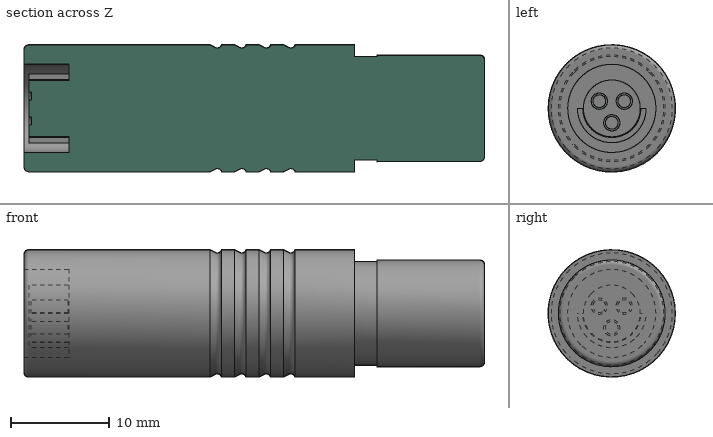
import cadquery as cq
import math

total_length = 47.0
body_radius = 6.5
body_length = 33.75
neck_radius = 5.3
tail_start = 36.0
tail_radius = 5.45
end_rounding = 0.5

groove_count = 4
first_groove_x = 19.0
groove_pitch = 2.5
groove_width = 1.15
flank_width = 0.55
flank_depth = 0.28

bore_radius = 4.5
bore_depth = 4.6
insert_radius = 2.9
insert_recess = 0.5

key_gap = 0.07
key_inner_radius = insert_radius + key_gap
key_outer_radius = 3.5

contact_count = 3
contact_circle_radius = 1.47
contact_first_angle = -90.0
contact_radius = 0.65
contact_depth = 4.0
contact_recess_radius = 0.83
contact_recess_depth = 0.25


def cylinder(start, end, radius):
    """Solid cylinder on the connector axis between two X positions."""
    return cq.Workplane("YZ", origin=(start, 0, 0)).circle(radius).extrude(end - start)


def make_shell():
    body = cylinder(0, body_length, body_radius).faces("<X").edges().fillet(end_rounding)
    neck = cylinder(body_length, tail_start, neck_radius)
    tail = cylinder(tail_start, total_length, tail_radius).faces(">X").edges().fillet(end_rounding)
    return body.union(neck).union(tail)


def make_groove(start):
    """Ring of material removed by one grip groove."""
    return (
        cq.Workplane("XY")
        .moveTo(start, body_radius)
        .lineTo(start + flank_width, body_radius - flank_depth)
        .tangentArcPoint((start + groove_width, body_radius), relative=False)
        .close()
        .revolve(360, (0, 0, 0), (1, 0, 0))
    )


def make_key():
    """Lower half of a thin tube standing on the bore floor around the insert."""
    tube = cylinder(insert_recess, bore_depth, key_outer_radius).cut(
        cylinder(insert_recess, bore_depth, key_inner_radius)
    )
    upper_half = cq.Workplane("XY").box(
        2 * bore_depth, 2 * bore_radius, bore_radius, centered=(True, True, False)
    )
    return tube.cut(upper_half)


def cut_contacts(part):
    for index in range(contact_count):
        angle = math.radians(contact_first_angle + index * 360 / contact_count)
        offset = (0, contact_circle_radius * math.cos(angle), contact_circle_radius * math.sin(angle))
        hole = cylinder(insert_recess, insert_recess + contact_depth, contact_radius)
        recess = cylinder(insert_recess, insert_recess + contact_recess_depth, contact_recess_radius)
        part = part.cut(hole.union(recess).translate(offset))
    return part


result = make_shell()
for groove_index in range(groove_count):
    result = result.cut(make_groove(first_groove_x + groove_index * groove_pitch))

result = result.cut(cylinder(0, bore_depth, bore_radius))
result = result.union(cylinder(insert_recess, bore_depth, insert_radius))
result = result.union(make_key())
result = cut_contacts(result)